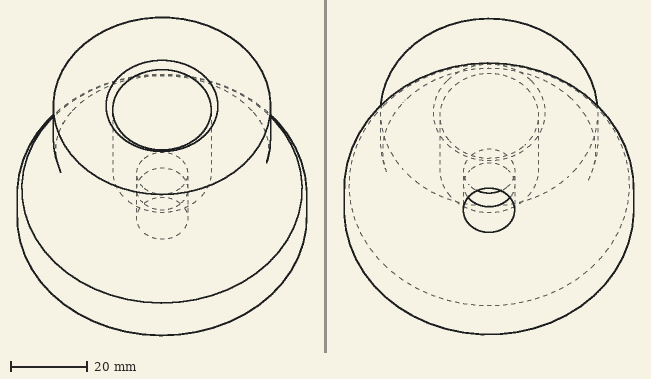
import cadquery as cq
import math

total_height = 50.8
hub_radius = 57.15 / 2
collar_bottom_z = 35.8
flare_radius = 31.8
flare_z = 20.0

pad_radius = 38.1
pad_height = 13.25
lip_radius = 73.7 / 2
shoulder_z = 10.7
bottom_round = 0.4

bore_radius = 25.9 / 2
bore_depth = 30.5
bore_floor_round = 0.8
bore_chamfer = 1.75
through_hole_radius = 13.5 / 2


def make_hub():
    """Flared hub with a chamfered blind bore and a smaller through hole."""
    bore_floor_z = total_height - bore_depth
    profile = (
        cq.Workplane("XZ")
        .moveTo(through_hole_radius, pad_height)
        .lineTo(lip_radius, pad_height)
        .lineTo(flare_radius, flare_z)
        .tangentArcPoint((hub_radius, collar_bottom_z), relative=False)
        .lineTo(hub_radius, total_height)
        .lineTo(bore_radius + bore_chamfer, total_height)
        .lineTo(bore_radius, total_height - bore_chamfer)
        .lineTo(bore_radius, bore_floor_z + bore_floor_round)
        .radiusArc((bore_radius - bore_floor_round, bore_floor_z), bore_floor_round)
        .lineTo(through_hole_radius, bore_floor_z)
        .close()
    )
    return profile.revolve(360, (0, 0, 0), (0, 1, 0))


def make_pad():
    """Round foot pad under the hub, with a rounded shoulder and a through hole."""
    shoulder_width = pad_radius - lip_radius
    shoulder_height = pad_height - shoulder_z
    shoulder_arc_radius = (shoulder_width**2 + shoulder_height**2) / (2 * shoulder_width)
    half_angle = math.asin(shoulder_height / shoulder_arc_radius) / 2
    shoulder_middle = (
        pad_radius - shoulder_arc_radius * (1 - math.cos(half_angle)),
        shoulder_z + shoulder_arc_radius * math.sin(half_angle),
    )
    profile = (
        cq.Workplane("XZ")
        .moveTo(through_hole_radius, 0)
        .lineTo(pad_radius - bottom_round, 0)
        .radiusArc((pad_radius, bottom_round), -bottom_round)
        .lineTo(pad_radius, shoulder_z)
        .threePointArc(shoulder_middle, (lip_radius, pad_height))
        .lineTo(through_hole_radius, pad_height)
        .close()
    )
    return profile.revolve(360, (0, 0, 0), (0, 1, 0))


hub = make_hub()
pad = make_pad()

result = cq.Compound.makeCompound([hub.val(), pad.val()])